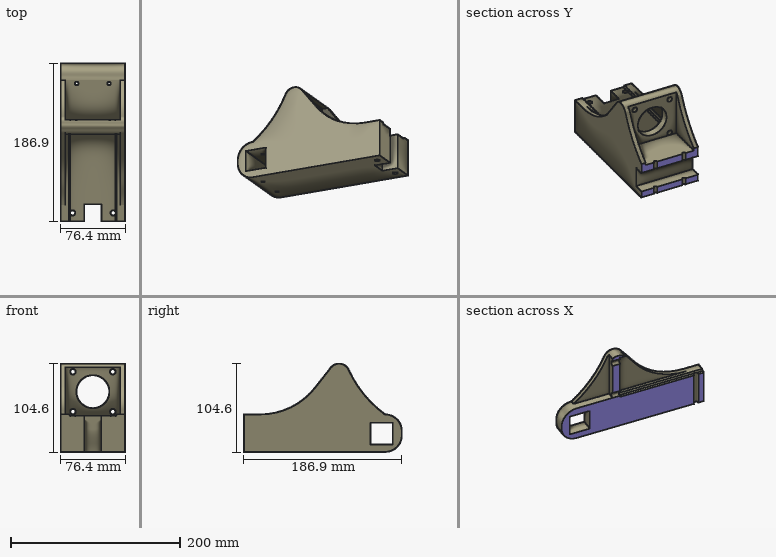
import cadquery as cq
import math


WIDTH = 76.4
LENGTH = 186.9
HEIGHT = 104.64
BASE_HEIGHT = 44.64
WALL = 5.8
INNER_WIDTH = WIDTH - 2 * WALL

CREST_RADIUS = 12.5
CREST_Y = 112.6
CREST_Z = HEIGHT - CREST_RADIUS
REAR_RADIUS = 20.0
REAR_Y = LENGTH - REAR_RADIUS
FRONT_FLAT = 19.5
FRONT_SLOPE = math.radians(51.9)
REAR_SWEEP_RADIUS = 134.0

PLATE_FRONT_Y = 110.1
PLATE_THICKNESS = 10.0
PLATE_REAR_Y = PLATE_FRONT_Y + PLATE_THICKNESS
FRONT_POCKET_TOP = 100.25
MOTOR_Z = 71.35
MOTOR_BORE = 38.7
MOTOR_SCREW_HOLE = 6.25
MOTOR_SCREW_SPACING = 47.14

CHANNEL_TOP_WIDTH = 57.0
CHANNEL_DEPTH = 1.8

SLOT_WIDTH = 20.0
SLOT_DEPTH = 20.0
FRONT_HOLE = 6.0
FRONT_HOLE_X = 24.0
FRONT_HOLE_Y = 10.0

PASSAGE_LENGTH = 26.0
PASSAGE_HEIGHT = 25.5
PASSAGE_FRONT_Y = 150.0
PASSAGE_BOTTOM = 9.0
REAR_HOLE = 4.0
REAR_HOLE_X = 19.1
REAR_HOLE_Y = 163.0


def on_circle(center, radius, angle):
    """Point on a circle in the YZ plane, with the angle measured from +Y toward +Z."""
    return (center[0] + radius * math.cos(angle), center[1] + radius * math.sin(angle))


def direction(start, end):
    """Angle of the line from start to end, measured from +Y toward +Z."""
    return math.atan2(end[1] - start[1], end[0] - start[0])


def make_body():
    crest = (CREST_Y, CREST_Z)

    rise = CREST_Z - BASE_HEIGHT
    run = CREST_Y - FRONT_FLAT
    sweep_offset = run * math.sin(FRONT_SLOPE) - rise * math.cos(FRONT_SLOPE) - CREST_RADIUS
    front_sweep_radius = sweep_offset / (1 - math.cos(FRONT_SLOPE))
    front_sweep = (FRONT_FLAT, BASE_HEIGHT + front_sweep_radius)
    foot_angle = -math.pi / 2
    slope_start = on_circle(front_sweep, front_sweep_radius, foot_angle + FRONT_SLOPE)
    front_sweep_middle = on_circle(front_sweep, front_sweep_radius, foot_angle + FRONT_SLOPE / 2)
    slope_end_angle = math.pi / 2 + FRONT_SLOPE
    slope_end = on_circle(crest, CREST_RADIUS, slope_end_angle)

    rear_foot = (REAR_Y, BASE_HEIGHT)
    center_distance = CREST_RADIUS + REAR_SWEEP_RADIUS
    foot_distance = math.dist(crest, rear_foot)
    squares = center_distance**2 + foot_distance**2 - REAR_SWEEP_RADIUS**2
    angle_at_crest = math.acos(squares / (2 * center_distance * foot_distance))
    touch_angle = direction(crest, rear_foot) + angle_at_crest
    touch = on_circle(crest, CREST_RADIUS, touch_angle)
    rear_sweep = on_circle(crest, center_distance, touch_angle)
    chord_middle = ((touch[0] + rear_foot[0]) / 2, (touch[1] + rear_foot[1]) / 2)
    rear_middle_angle = direction(rear_sweep, chord_middle)
    rear_sweep_middle = on_circle(rear_sweep, REAR_SWEEP_RADIUS, rear_middle_angle)
    crest_middle = on_circle(crest, CREST_RADIUS, (slope_end_angle + touch_angle) / 2)

    upper_center = (REAR_Y, BASE_HEIGHT - REAR_RADIUS)
    lower_center = (REAR_Y, REAR_RADIUS)
    upper_middle = on_circle(upper_center, REAR_RADIUS, math.pi / 4)
    lower_middle = on_circle(lower_center, REAR_RADIUS, -math.pi / 4)
    return (
        cq.Workplane("YZ", origin=(-WIDTH / 2, 0, 0))
        .lineTo(0, BASE_HEIGHT)
        .lineTo(FRONT_FLAT, BASE_HEIGHT)
        .threePointArc(front_sweep_middle, slope_start)
        .lineTo(*slope_end)
        .threePointArc(crest_middle, touch)
        .threePointArc(rear_sweep_middle, rear_foot)
        .threePointArc(upper_middle, (LENGTH, upper_center[1]))
        .lineTo(LENGTH, lower_center[1])
        .threePointArc(lower_middle, (REAR_Y, 0))
        .close()
        .extrude(WIDTH)
    )


def block(width, y_range, z_range):
    """Box centred on X, spanning the given Y and Z ranges."""
    return (
        cq.Workplane("XY", origin=(0, y_range[0], z_range[0]))
        .box(width, y_range[1] - y_range[0], z_range[1] - z_range[0], centered=(True, False, False))
    )


def make_channel():
    half_top = CHANNEL_TOP_WIDTH / 2
    half_bottom = half_top - CHANNEL_DEPTH
    floor = BASE_HEIGHT - CHANNEL_DEPTH
    return (
        cq.Workplane("XZ")
        .polyline([
            (-half_top, BASE_HEIGHT),
            (-half_bottom, floor),
            (half_bottom, floor),
            (half_top, BASE_HEIGHT),
        ])
        .close()
        .extrude(-PLATE_FRONT_Y)
    )


def make_motor_holes():
    plate = cq.Workplane("XZ", origin=(0, PLATE_FRONT_Y, MOTOR_Z))
    bore = plate.circle(MOTOR_BORE / 2).extrude(-PLATE_THICKNESS)
    screws = (
        plate.rect(MOTOR_SCREW_SPACING, MOTOR_SCREW_SPACING, forConstruction=True)
        .vertices()
        .circle(MOTOR_SCREW_HOLE / 2)
        .extrude(-PLATE_THICKNESS)
    )
    return bore.union(screws)


def vertical_hole_pair(diameter, x, y):
    """Two holes mirrored across X = 0, running through the full base height."""
    return cq.Workplane("XY").pushPoints([(-x, y), (x, y)]).circle(diameter / 2).extrude(BASE_HEIGHT)


front_pocket = block(INNER_WIDTH, (0, PLATE_FRONT_Y), (BASE_HEIGHT, FRONT_POCKET_TOP))
rear_pocket = block(INNER_WIDTH, (PLATE_REAR_Y, LENGTH), (BASE_HEIGHT, HEIGHT))
slot = block(SLOT_WIDTH, (0, SLOT_DEPTH), (0, BASE_HEIGHT))
passage = block(
    WIDTH,
    (PASSAGE_FRONT_Y, PASSAGE_FRONT_Y + PASSAGE_LENGTH),
    (PASSAGE_BOTTOM, PASSAGE_BOTTOM + PASSAGE_HEIGHT),
)

result = (
    make_body()
    .cut(front_pocket)
    .cut(rear_pocket)
    .cut(make_channel())
    .cut(make_motor_holes())
    .cut(slot)
    .cut(vertical_hole_pair(FRONT_HOLE, FRONT_HOLE_X, FRONT_HOLE_Y))
    .cut(passage)
    .cut(vertical_hole_pair(REAR_HOLE, REAR_HOLE_X, REAR_HOLE_Y))
)